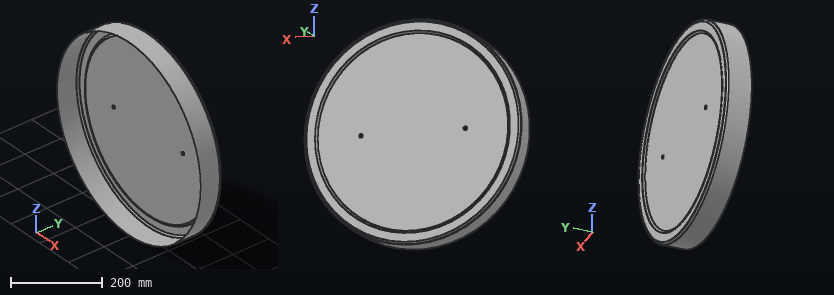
import cadquery as cq
import math

outer_radius = 251.0
depth = 60.0
sheet = 2.0
corner_bevel = 5.5
plateau_radius = 220.5
plateau_height = 5.0
hole_diameter = 8.0
hole_spacing = 241.0

corner_shift = sheet * math.tan(math.radians(22.5))

rim_y = -depth / 2
back_y = depth / 2
floor_y = back_y - sheet
inner_radius = outer_radius - sheet
bevel_start_y = back_y - corner_bevel
bevel_end_radius = outer_radius - corner_bevel
plateau_foot_radius = plateau_radius + plateau_height
rim_round = sheet / 2


def make_pan():
    """Revolve the half section (radius, y) of the pressed sheet around Y."""
    section = (
        cq.Workplane("XY")
        .moveTo(0, back_y - plateau_height)
        .lineTo(plateau_radius - corner_shift, back_y - plateau_height)
        .lineTo(plateau_foot_radius - corner_shift, back_y)
        .lineTo(bevel_end_radius, back_y)
        .lineTo(outer_radius, bevel_start_y)
        .lineTo(outer_radius, rim_y + rim_round)
        .radiusArc((outer_radius - rim_round, rim_y), rim_round)
        .radiusArc((inner_radius, rim_y + rim_round), rim_round)
        .lineTo(inner_radius, bevel_start_y - corner_shift)
        .lineTo(bevel_end_radius - corner_shift, floor_y)
        .lineTo(plateau_foot_radius, floor_y)
        .lineTo(plateau_radius, floor_y - plateau_height)
        .lineTo(0, floor_y - plateau_height)
        .close()
    )
    return section.revolve(360, (0, 0, 0), (0, 1, 0))


def make_holes():
    """Two through holes on the X axis."""
    return (
        cq.Workplane("XZ", origin=(0, back_y, 0))
        .pushPoints([(-hole_spacing / 2, 0), (hole_spacing / 2, 0)])
        .circle(hole_diameter / 2)
        .extrude(depth)
    )


result = make_pan().cut(make_holes())